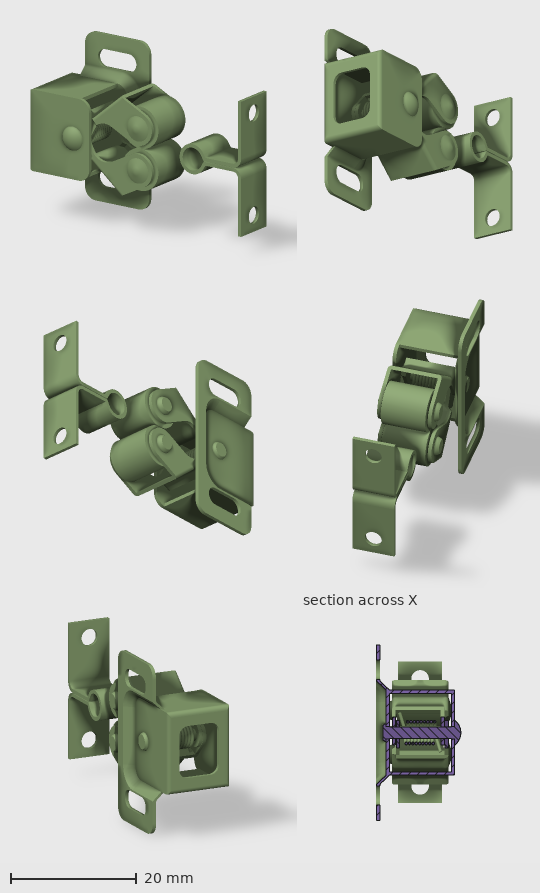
import cadquery as cq
import math


SHEET = 0.6

BOX_DEPTH = 11.0
BOX_HEIGHT = 13.6
SIDE_WALL_LENGTH = 11.75
TOP_WALL_LENGTH = 9.9
CHEEK_CORNER_RADIUS = 2.0
BACK_ROUND_TOP = 0.8
BACK_ROUND_SIDE = 0.6
WINDOW_WIDTH = 7.0
WINDOW_HEIGHT = 8.6
WINDOW_RADIUS = 1.5
PLATE_LENGTH = 12.5
PLATE_HEIGHT = 28.0
PLATE_START = 2.5
PLATE_OFFSET = 1.5
PLATE_CORNER_RADIUS = 2.0
SLOT_LENGTH = 7.5
SLOT_WIDTH = 3.0
SLOT_HEIGHT = 10.0
PRESS_SPREAD = 1.4
PRESS_ROUND = 0.5

PIVOT_X = 8.5
PIVOT_DIAMETER = 2.0
PIVOT_HEAD_DIAMETER = 4.0
PIVOT_HEAD_HEIGHT = 1.0
PIVOT_TAIL_DIAMETER = 3.0
PIVOT_TAIL_FLAT = 2.4
PIVOT_TAIL_HEIGHT = 0.5

ROLLER_X = 20.5
ROLLER_RADIUS = 3.5
ROLLER_LENGTH = 7.4
ROLLER_PIN_DIAMETER = 2.2
CONE_HEAD_DIAMETER = 4.2
CONE_HEAD_HEIGHT = 0.75
RIVET_HEAD_DIAMETER = 3.1
RIVET_HEAD_HEIGHT = 0.75
RIVET_HEAD_FLAT = 2.35

ARM_WIDTH = 9.0
ARM_END_RADIUS = 2.8
ARM_SLOPE = math.radians(26.57)
NECK_LENGTH = 4.3
EAR_RADIUS = 2.0
THROAT_RADIUS = 2.8
WEB_SLOPE = math.radians(40)
TAIL_SLOPE = math.radians(25)
TAIL_LENGTH = 1.3
FOOT_BEND = (11.09, 4.29)
FOOT_BEND_RADIUS = 0.8
ARM_BEND_RADIUS = 0.59
EAR_INSET = 0.65
JOG_LENGTH = 0.6

WIRE_DIAMETER = 0.5
COIL_DIAMETER = 4.0
COIL_PITCH = 0.536
FULL_TURNS = 9
LEG_OVERLAP = 0.2
LEG_TIP = cq.Vector(PIVOT_X + 1.0, 3.25, 3.1)

STRIKE_WIDTH = 7.0
STRIKE_END_X = 40.0
STRIKE_HEIGHT = 22.5
LOOP_X = 30.5
LOOP_RADIUS = 2.5
LOOP_MOUTH = math.radians(30)
LEAF_GAP = 0.1
FLANGE_BEND_RADIUS = 1.0
STRIKE_HOLE_DIAMETER = 2.8
STRIKE_HOLE_HEIGHT = 8.5


def slab(x0, x1, y0, y1, height):
    """Box spanning the given X and Y ranges, centred on Z = 0."""
    block = cq.Workplane("XY").box(x1 - x0, y1 - y0, height, centered=(False, False, True))
    return block.translate((x0, y0, 0))


def y_cylinder(x, z, diameter, y0, y1):
    """Cylinder along Y from y0 up to y1."""
    return cq.Workplane("XZ", origin=(x, y0, z)).circle(diameter / 2).extrude(y0 - y1)


def polar(center, radius, angle):
    """Point at an angle on a circle."""
    return (center[0] + radius * math.cos(angle), center[1] + radius * math.sin(angle))


def meeting_point(first, first_angle, second, second_angle):
    """Point where two lines meet, each given by a point and a direction."""
    gap_x = second[0] - first[0]
    gap_z = second[1] - first[1]
    across = gap_x * math.sin(second_angle) - gap_z * math.cos(second_angle)
    return polar(first, across / math.sin(second_angle - first_angle), first_angle)


def domed_head(x, z, y, direction, diameter, height, flat_diameter=0):
    """Ball-shaped pin head on the face at y, rising along +Y or -Y to an optional flat."""
    base_radius = diameter / 2
    center = ((flat_diameter / 2) ** 2 + height**2 - base_radius**2) / (2 * height)
    ball = cq.Workplane("XY").sphere(math.hypot(base_radius, center))
    ball = ball.translate((x, y + direction * center, z))
    y_low, y_high = sorted((y, y + direction * height))
    return ball.intersect(y_cylinder(x, z, diameter, y_low, y_high))


BOX_SIDE = BOX_DEPTH / 2
BOX_INNER_SIDE = BOX_SIDE - SHEET
PLATE_BACK = BOX_SIDE + PLATE_OFFSET
PLATE_FRONT = PLATE_BACK - SHEET
PLATE_END = PLATE_START + PLATE_LENGTH


def press_form(y_open):
    """Tapered block that narrows in -Y, from its wide end at y_open to the size of the box cheek."""
    half_length = SIDE_WALL_LENGTH + PRESS_SPREAD
    outline = (
        cq.Sketch()
        .rect(2 * half_length, BOX_HEIGHT + 2 * PRESS_SPREAD)
        .vertices()
        .fillet(CHEEK_CORNER_RADIUS + PRESS_SPREAD)
    )
    taper = math.degrees(math.atan2(PRESS_SPREAD, PLATE_OFFSET))
    form = cq.Workplane("XZ", origin=(0, y_open, 0)).placeSketch(outline).extrude(PLATE_OFFSET, taper=taper)
    return form.intersect(slab(PLATE_START, half_length, -PLATE_BACK, PLATE_BACK, PLATE_HEIGHT))


def make_box():
    """Box of the housing: open at the arm end, with cheeks longer than its top and bottom walls."""
    block = slab(0, SIDE_WALL_LENGTH, -BOX_SIDE, BOX_SIDE, BOX_HEIGHT)
    cheek_shape = block.edges(">X and |Y").fillet(CHEEK_CORNER_RADIUS)
    cheek_shape = cheek_shape.edges("<X and |Y").fillet(BACK_ROUND_TOP)
    box = cheek_shape.intersect(block.edges("<X and |Z").fillet(BACK_ROUND_SIDE))
    box = box.union(slab(TOP_WALL_LENGTH / 2, TOP_WALL_LENGTH, -BOX_INNER_SIDE, BOX_INNER_SIDE, BOX_HEIGHT))
    inside_height = BOX_HEIGHT - 2 * SHEET
    box = box.cut(slab(SHEET, SIDE_WALL_LENGTH, -BOX_INNER_SIDE, BOX_INNER_SIDE, inside_height))
    box = box.cut(slab(TOP_WALL_LENGTH, SIDE_WALL_LENGTH, -BOX_INNER_SIDE, BOX_INNER_SIDE, BOX_HEIGHT))
    window = slab(0, SHEET, -WINDOW_WIDTH / 2, WINDOW_WIDTH / 2, WINDOW_HEIGHT)
    return box.cut(window.edges("|X").fillet(WINDOW_RADIUS))


def make_mounting_plate():
    """Slotted plate with a raised pressing that reaches the box."""
    plate = slab(PLATE_START, PLATE_END, PLATE_FRONT, PLATE_BACK, PLATE_HEIGHT)
    plate = plate.edges("|Y").fillet(PLATE_CORNER_RADIUS)
    slots = (
        cq.Workplane("XZ", origin=((PLATE_START + PLATE_END) / 2, PLATE_BACK, 0))
        .pushPoints([(0, SLOT_HEIGHT), (0, -SLOT_HEIGHT)])
        .slot2D(SLOT_LENGTH, SLOT_WIDTH)
        .extrude(SHEET)
    )
    plate = plate.cut(slots).union(press_form(PLATE_FRONT))
    press_end = SIDE_WALL_LENGTH + PRESS_SPREAD
    press_top = BOX_HEIGHT / 2 + PRESS_SPREAD
    margin = 0.1
    foot_edges = cq.selectors.BoxSelector(
        (PLATE_START + margin, PLATE_FRONT - margin, -press_top - margin),
        (press_end + margin, PLATE_FRONT + margin, press_top + margin),
    )
    plate = plate.edges(foot_edges).fillet(PRESS_ROUND)
    return plate.cut(press_form(PLATE_BACK))


def make_housing():
    housing = make_box().union(make_mounting_plate())
    return housing.cut(y_cylinder(PIVOT_X, 0, PIVOT_DIAMETER, -BOX_SIDE, BOX_SIDE))


def make_pivot_pin():
    """Pin through both cheeks, with a domed head in front and a low riveted head behind."""
    pin = y_cylinder(PIVOT_X, 0, PIVOT_DIAMETER, -BOX_SIDE, BOX_SIDE)
    head = domed_head(PIVOT_X, 0, -BOX_SIDE, -1, PIVOT_HEAD_DIAMETER, PIVOT_HEAD_HEIGHT)
    tail = domed_head(PIVOT_X, 0, BOX_SIDE, 1, PIVOT_TAIL_DIAMETER, PIVOT_TAIL_HEIGHT, PIVOT_TAIL_FLAT)
    return pin.union(head).union(tail)


ROLLER_Z = ROLLER_RADIUS
ARM_SIDE = ARM_WIDTH / 2


def make_roller():
    half_length = ROLLER_LENGTH / 2
    roller = y_cylinder(ROLLER_X, ROLLER_Z, 2 * ROLLER_RADIUS, -half_length, half_length)
    return roller.cut(y_cylinder(ROLLER_X, ROLLER_Z, ROLLER_PIN_DIAMETER, -half_length, half_length))


def make_roller_pin():
    """Roller pin with a conical head in front and a rounded riveted head behind."""
    pin = y_cylinder(ROLLER_X, ROLLER_Z, ROLLER_PIN_DIAMETER, -ARM_SIDE, ARM_SIDE)
    cone_base = cq.Vector(ROLLER_X, -ARM_SIDE, ROLLER_Z)
    cone = cq.Solid.makeCone(CONE_HEAD_DIAMETER / 2, 0, CONE_HEAD_HEIGHT, cone_base, cq.Vector(0, -1, 0))
    rivet = domed_head(
        ROLLER_X, ROLLER_Z, ARM_SIDE, 1, RIVET_HEAD_DIAMETER, RIVET_HEAD_HEIGHT, RIVET_HEAD_FLAT
    )
    return pin.union(cq.Workplane(cone)).union(rivet)


def arm_outline():
    """Side outline of the upper arm's blank, from the pivot ear to the roller end."""
    pivot = (PIVOT_X, 0)
    roller = (ROLLER_X, ROLLER_Z)
    upper_normal = math.pi / 2 - ARM_SLOPE
    lower_normal = upper_normal - math.pi

    end_top = polar(roller, ARM_END_RADIUS, upper_normal)
    end_tip = polar(roller, ARM_END_RADIUS, 0)
    end_bottom = polar(roller, ARM_END_RADIUS, lower_normal)

    tail_foot = polar(FOOT_BEND, FOOT_BEND_RADIUS + SHEET, -math.pi / 2 - TAIL_SLOPE)
    tail_end = polar(tail_foot, TAIL_LENGTH, math.pi - TAIL_SLOPE)
    blank_corner = meeting_point(tail_end, math.pi / 2 - TAIL_SLOPE, end_top, math.pi - ARM_SLOPE)

    neck_start = polar(end_bottom, NECK_LENGTH, math.pi - ARM_SLOPE)
    throat = polar(neck_start, THROAT_RADIUS, lower_normal)
    throat_top = polar(throat, THROAT_RADIUS, math.pi / 2)
    to_pivot = math.atan2(pivot[1] - throat[1], pivot[0] - throat[0])
    spacing = math.dist(pivot, throat)
    cross_angle = math.acos((THROAT_RADIUS + EAR_RADIUS) / spacing)
    throat_normal = to_pivot % (2 * math.pi) - cross_angle
    throat_end = polar(throat, THROAT_RADIUS, throat_normal)
    ear_start = polar(pivot, EAR_RADIUS, throat_normal - math.pi)

    tail_direction = math.atan2(tail_end[1] - pivot[1], tail_end[0] - pivot[0])
    ear_back_normal = tail_direction + math.acos(EAR_RADIUS / math.dist(pivot, tail_end))
    ear_end = polar(pivot, EAR_RADIUS, ear_back_normal)
    ear_middle = polar(pivot, EAR_RADIUS, (throat_normal + math.pi + ear_back_normal) / 2)

    return (
        cq.Workplane("XZ", origin=(0, ARM_SIDE, 0))
        .moveTo(*tail_end)
        .lineTo(*blank_corner)
        .lineTo(*end_top)
        .threePointArc(end_tip, end_bottom)
        .lineTo(*neck_start)
        .threePointArc(throat_top, throat_end)
        .lineTo(*ear_start)
        .threePointArc(ear_middle, ear_end)
        .close()
    )


def side_space(inset):
    """Space between the sides of the arm, moved inwards by the inset.

    Its front side jogs inwards next to the foot of the web, so that each arm's inset ear
    fits inside the other arm's straight ear. The jog runs square to the web.
    """
    front = -ARM_SIDE + inset
    reach = 4 * ARM_WIDTH
    jog_start = polar(FOOT_BEND, FOOT_BEND_RADIUS, WEB_SLOPE - math.pi / 2)
    along_web = cq.Vector(math.cos(WEB_SLOPE), 0, math.sin(WEB_SLOPE))
    square_to_web = cq.Vector(-math.sin(WEB_SLOPE), 0, math.cos(WEB_SLOPE))
    plane = cq.Plane(origin=(jog_start[0], 0, jog_start[1]), xDir=along_web, normal=square_to_web)
    return (
        cq.Workplane(plane)
        .moveTo(-reach, ARM_SIDE - inset)
        .lineTo(reach, ARM_SIDE - inset)
        .lineTo(reach, front)
        .lineTo(0, front)
        .lineTo(-JOG_LENGTH, front + EAR_INSET)
        .lineTo(-reach, front + EAR_INSET)
        .close()
        .extrude(reach, both=True)
    )


def space_under_fold(depth):
    """Everything below the web and its upturned tail, at a depth inside their outer faces."""
    reach = 4 * ARM_WIDTH
    radius = FOOT_BEND_RADIUS + depth
    web_foot = polar(FOOT_BEND, radius, WEB_SLOPE - math.pi / 2)
    bend_bottom = polar(FOOT_BEND, radius, -math.pi / 2)
    tail_foot = polar(FOOT_BEND, radius, -math.pi / 2 - TAIL_SLOPE)
    web_far = polar(web_foot, reach, WEB_SLOPE)
    tail_far = polar(tail_foot, reach, math.pi - TAIL_SLOPE)
    return (
        cq.Workplane("XZ", origin=(0, ARM_SIDE, 0))
        .moveTo(*tail_far)
        .lineTo(*tail_foot)
        .threePointArc(bend_bottom, web_foot)
        .lineTo(*web_far)
        .lineTo(web_far[0], -reach)
        .lineTo(tail_far[0], -reach)
        .close()
        .extrude(ARM_WIDTH)
    )


def make_arm():
    """Upper arm: two ears joined by a folded web along the outer edge."""
    envelope = space_under_fold(0)
    envelope = envelope.faces("|Y").edges("%CIRCLE").fillet(ARM_BEND_RADIUS)
    arm = arm_outline().extrude(ARM_WIDTH).intersect(side_space(0)).intersect(envelope)
    arm = arm.cut(space_under_fold(SHEET).intersect(side_space(SHEET)))
    arm = arm.cut(y_cylinder(PIVOT_X, 0, PIVOT_DIAMETER, -ARM_SIDE, ARM_SIDE))
    return arm.cut(y_cylinder(ROLLER_X, ROLLER_Z, ROLLER_PIN_DIAMETER, -ARM_SIDE, ARM_SIDE))


def make_spring():
    """Torsion spring around the pivot pin, with one straight leg inside each arm."""
    wire_radius = WIRE_DIAMETER / 2
    coil_radius = COIL_DIAMETER / 2 - wire_radius
    tip_x = LEG_TIP.x - PIVOT_X
    tip_distance = math.hypot(tip_x, LEG_TIP.z)
    leave_angle = math.acos(coil_radius / tip_distance) - math.atan2(LEG_TIP.z, tip_x)
    height = COIL_PITCH * (FULL_TURNS - leave_angle / math.pi)

    path = cq.Wire.makeHelix(COIL_PITCH, height, coil_radius, lefthand=True)
    spring = (
        cq.Workplane(cq.Plane(origin=(coil_radius, 0, 0), xDir=(1, 0, 0), normal=(0, -1, 0)))
        .circle(wire_radius)
        .sweep(cq.Workplane(path), isFrenet=True)
        .rotate((0, 0, 0), (1, 0, 0), -90)
        .rotate((0, 0, 0), (0, 1, 0), -math.degrees(leave_angle))
        .translate((PIVOT_X, -height / 2, 0))
    )

    leg_x, leg_z = polar((PIVOT_X, 0), coil_radius, -leave_angle)
    for side in (1, -1):
        start = cq.Vector(leg_x, side * height / 2, side * leg_z)
        tip = cq.Vector(LEG_TIP.x, side * LEG_TIP.y, side * LEG_TIP.z)
        root = start - (tip - start).normalized() * LEG_OVERLAP
        leg = cq.Solid.makeCylinder(wire_radius, (tip - root).Length, root, tip - root)
        spring = spring.union(cq.Workplane(leg))
    return spring


def mouth_point(radius, z):
    """Point at height z on the line that leaves the loop circle of this radius at its mouth."""
    return (LOOP_X + (radius - z * math.sin(LOOP_MOUTH)) / math.cos(LOOP_MOUTH), z)


def mirrored(point):
    return (point[0], -point[1])


def make_strike():
    """Strip rolled into a loop, with two leaves that turn out into screw flanges."""
    loop = (LOOP_X, 0)
    inner_radius = LOOP_RADIUS - SHEET
    leaf_inner = LEAF_GAP / 2
    leaf_outer = leaf_inner + SHEET
    flange_x = STRIKE_END_X - SHEET
    flange_top = STRIKE_HEIGHT / 2
    outer_bend_radius = FLANGE_BEND_RADIUS + SHEET
    bend = (STRIKE_END_X - outer_bend_radius, leaf_inner + outer_bend_radius)
    mid_bend = -math.pi / 4

    outer_mouth = polar(loop, LOOP_RADIUS, LOOP_MOUTH)
    outer_corner = mouth_point(LOOP_RADIUS, leaf_outer)
    outer_leaf_end = (bend[0], leaf_outer)
    outer_mid_bend = polar(bend, FLANGE_BEND_RADIUS, mid_bend)
    outer_flange_foot = (flange_x, bend[1])
    outer_flange_end = (flange_x, flange_top)
    inner_flange_end = (STRIKE_END_X, flange_top)
    inner_flange_foot = (STRIKE_END_X, bend[1])
    inner_mid_bend = polar(bend, outer_bend_radius, mid_bend)
    inner_leaf_end = (bend[0], leaf_inner)
    inner_corner = mouth_point(inner_radius, leaf_inner)
    inner_mouth = polar(loop, inner_radius, LOOP_MOUTH)

    strip = (
        cq.Workplane("XZ", origin=(0, STRIKE_WIDTH / 2, 0))
        .moveTo(*outer_mouth)
        .lineTo(*outer_corner)
        .lineTo(*outer_leaf_end)
        .threePointArc(outer_mid_bend, outer_flange_foot)
        .lineTo(*outer_flange_end)
        .lineTo(*inner_flange_end)
        .lineTo(*inner_flange_foot)
        .threePointArc(inner_mid_bend, inner_leaf_end)
        .lineTo(*inner_corner)
        .lineTo(*inner_mouth)
        .threePointArc(polar(loop, inner_radius, math.pi), mirrored(inner_mouth))
        .lineTo(*mirrored(inner_corner))
        .lineTo(*mirrored(inner_leaf_end))
        .threePointArc(mirrored(inner_mid_bend), mirrored(inner_flange_foot))
        .lineTo(*mirrored(inner_flange_end))
        .lineTo(*mirrored(outer_flange_end))
        .lineTo(*mirrored(outer_flange_foot))
        .threePointArc(mirrored(outer_mid_bend), mirrored(outer_leaf_end))
        .lineTo(*mirrored(outer_corner))
        .lineTo(*mirrored(outer_mouth))
        .threePointArc(polar(loop, LOOP_RADIUS, math.pi), outer_mouth)
        .close()
        .extrude(STRIKE_WIDTH)
    )
    holes = (
        cq.Workplane("YZ", origin=(flange_x, 0, 0))
        .pushPoints([(0, STRIKE_HOLE_HEIGHT), (0, -STRIKE_HOLE_HEIGHT)])
        .circle(STRIKE_HOLE_DIAMETER / 2)
        .extrude(SHEET)
    )
    return strip.cut(holes)


housing = make_housing()
pivot_pin = make_pivot_pin()
spring = make_spring()
strike = make_strike()

arm = make_arm()
roller = make_roller()
roller_pin = make_roller_pin()
arms = []
rollers = []
for turn in (0, 180):
    arms.append(arm.rotate((0, 0, 0), (1, 0, 0), turn))
    rollers.append(roller.rotate((0, 0, 0), (1, 0, 0), turn))
roller_pins = [roller_pin, roller_pin.mirror("XY")]

bodies = [housing, pivot_pin, spring, strike, *arms, *rollers, *roller_pins]
result = cq.Compound.makeCompound([body.solids().val() for body in bodies])